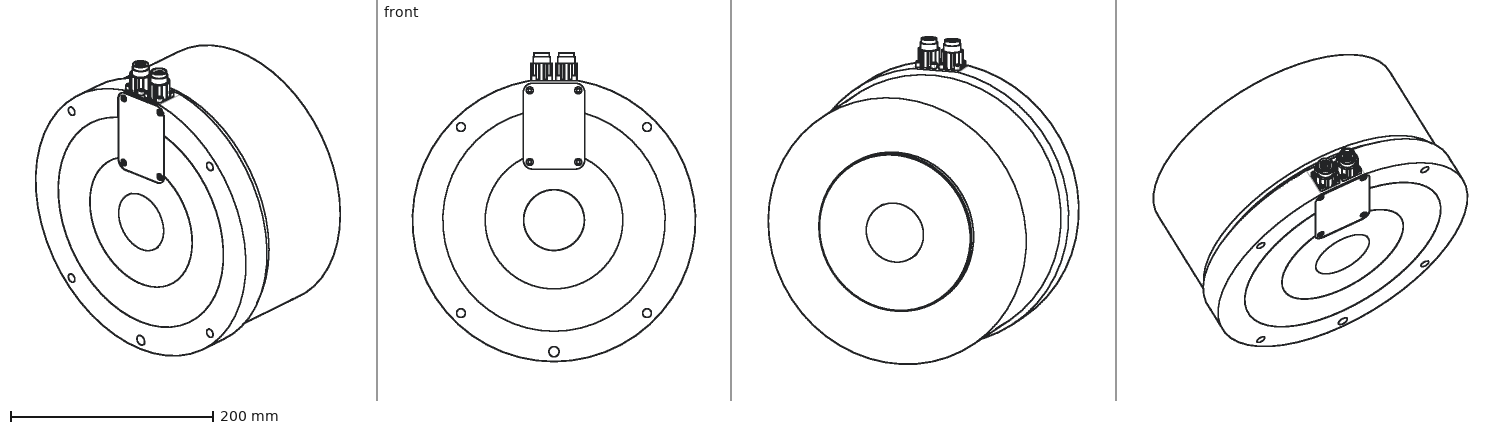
import cadquery as cq
import math


OVERALL_HEIGHT = 305.2

FLANGE_D = 280.0
FLANGE_R = FLANGE_D / 2
FLANGE_T = 31.0
NECK_R = 121.8
CONE_R = 124.8
CONE_END_Y = 34.2
RING_R = 126.5
RING_Y = 36.3
RING_CHAMFER = 0.5
DRUM_R = 135.0
DRUM_Y = 39.7
DRUM_END_Y = 145.0
HUB_R = 80.0
TOTAL_LENGTH = 152.0
HUB_CHAMFER = 1.2
BORE_D = 59.8

OUTER_RECESS_R = 110.0
INNER_RECESS_R = 68.0
RECESS_STEP = 0.3

SEAT_W = 48.8
SEAT_Z = math.sqrt(FLANGE_R**2 - (SEAT_W / 2) ** 2)

COVER_W = 60.7
COVER_TOP_Z = 135.2
COVER_BOTTOM_Z = 50.5
COVER_CORNER_R = 9.2
COVER_DEPTH = 1.2
SCREW_INSET_X = 6.5
SCREW_INSET_Z = 7.0
SCREW_D = 6.7
SCREW_SINK = 0.3
SOCKET_D = 3.5
SOCKET_DEPTH = 1.0

BOLT_CIRCLE_R = 130.0
TAPPED_D = 8.5
TAPPED_DEPTH = 21.5
DRILL_POINT_ANGLE = 118
DOWEL_D = 10.0
DOWEL_DEPTH = 21.5

CONNECTOR_X = 12.2
CONNECTOR_Y = 13.5
CONNECTOR_H = OVERALL_HEIGHT - FLANGE_R - SEAT_Z
BASE_W = 21.5
BASE_H = 1.2
BASE_CORNER_R = 1.2
BODY_D = 21.5
BODY_H = 17.0
COLLAR_D = 17.0
COLLAR_H = 23.5
NOSE_D = 15.3
FLUTE_ANGLES = (0, 33, 59, 77)
FLUTE_W = 1.0
FLUTE_DEPTH = 1.2
KEY_W = 5.0
CORNER_W = 5.2
CORNER_H = 4.5
BASE_SCREW_PITCH = BASE_W - CORNER_W
BASE_SCREW_D = 4.5
BASE_SCREW_H = 5.5
BASE_SOCKET_D = 2.5
BASE_SOCKET_DEPTH = 1.5

SOCKET_MOUTH_D = 10.5
SOCKET_MOUTH_DEPTH = 1.0
PIN_MOUTH_D = 13.0
PIN_MOUTH_DEPTH = 5.0
PIN_H = 4.0
CONTACT_D = 1.5
CONTACT_HOLE_DEPTH = 3.0
CONTACT_COUNT = 8
CONTACT_RING_R = 3.5


def front_cylinder(diameter, depth, x, z, start_y=0.0):
    """Cylinder along +Y, starting at start_y."""
    return cq.Workplane(
        cq.Solid.makeCylinder(diameter / 2, depth, cq.Vector(x, start_y, z), cq.Vector(0, 1, 0))
    )


def turned_body():
    """Flange, undercut neck, ring, drum and rear hub around the through bore."""
    profile = [
        (BORE_D / 2, 2 * RECESS_STEP),
        (INNER_RECESS_R, 2 * RECESS_STEP),
        (INNER_RECESS_R, RECESS_STEP),
        (OUTER_RECESS_R, RECESS_STEP),
        (OUTER_RECESS_R, 0),
        (FLANGE_R, 0),
        (FLANGE_R, FLANGE_T),
        (CONE_R, FLANGE_T),
        (NECK_R, CONE_END_Y),
        (NECK_R, RING_Y),
        (RING_R - RING_CHAMFER, RING_Y),
        (RING_R, RING_Y + RING_CHAMFER),
        (RING_R, DRUM_Y),
        (DRUM_R, DRUM_Y),
        (DRUM_R, DRUM_END_Y),
        (HUB_R, DRUM_END_Y),
        (HUB_R, TOTAL_LENGTH - HUB_CHAMFER),
        (HUB_R - HUB_CHAMFER, TOTAL_LENGTH),
        (BORE_D / 2, TOTAL_LENGTH),
    ]
    return cq.Workplane("XY").polyline(profile).close().revolve(360, (0, 0), (0, 1))


def seat_cut():
    """Block above the connector seat, as deep as the flange."""
    height = FLANGE_R - SEAT_Z
    block = cq.Workplane("XY").box(SEAT_W, FLANGE_T, height, centered=(True, False, False))
    return block.translate((0, 0, SEAT_Z))


def add_cover(body):
    """Sink the rounded cover and its four socket-head screws into the front."""
    height = COVER_TOP_Z - COVER_BOTTOM_Z
    pocket = (
        cq.Workplane("XY")
        .box(COVER_W, COVER_DEPTH, height, centered=(True, False, False))
        .edges("|Y")
        .fillet(COVER_CORNER_R)
        .translate((0, 0, COVER_BOTTOM_Z))
    )
    body = body.cut(pocket)
    screw_x = COVER_W / 2 - SCREW_INSET_X
    for x in (-screw_x, screw_x):
        for z in (COVER_BOTTOM_Z + SCREW_INSET_Z, COVER_TOP_Z - SCREW_INSET_Z):
            head_y = COVER_DEPTH + SCREW_SINK
            body = body.cut(front_cylinder(SCREW_D, SCREW_SINK, x, z, COVER_DEPTH))
            body = body.cut(front_cylinder(SOCKET_D, SOCKET_DEPTH, x, z, head_y))
    return body


def drill_flange(body):
    """Four blind tapped holes with drill points, and a flat-bottomed dowel hole."""
    radius = TAPPED_D / 2
    point_depth = radius / math.tan(math.radians(DRILL_POINT_ANGLE / 2))
    for angle in (45, 135, 225, 315):
        x = BOLT_CIRCLE_R * math.cos(math.radians(angle))
        z = BOLT_CIRCLE_R * math.sin(math.radians(angle))
        point = cq.Solid.makeCone(
            radius, 0, point_depth, cq.Vector(x, TAPPED_DEPTH, z), cq.Vector(0, 1, 0)
        )
        body = body.cut(front_cylinder(TAPPED_D, TAPPED_DEPTH, x, z)).cut(cq.Workplane(point))
    return body.cut(front_cylinder(DOWEL_D, DOWEL_DEPTH, 0, -BOLT_CIRCLE_R))


def connector_shell():
    """Fluted housing with flat keys, on a square base with screwed corner pads, standing on z = 0."""
    channel_w = BASE_W - 2 * CORNER_W
    channels = (
        cq.Workplane("XY")
        .workplane(offset=BASE_H)
        .rect(channel_w, BASE_W)
        .extrude(CORNER_H - BASE_H)
    )
    channels = channels.union(channels.rotate((0, 0, 0), (0, 0, 1), 90))
    base = (
        cq.Workplane("XY")
        .rect(BASE_W, BASE_W)
        .extrude(CORNER_H)
        .edges("|Z")
        .fillet(BASE_CORNER_R)
        .cut(channels)
    )
    screws = (
        cq.Workplane("XY")
        .rect(BASE_SCREW_PITCH, BASE_SCREW_PITCH, forConstruction=True)
        .vertices()
        .circle(BASE_SCREW_D / 2)
        .extrude(BASE_SCREW_H)
    )
    sockets = (
        cq.Workplane("XY")
        .workplane(offset=BASE_SCREW_H - BASE_SOCKET_DEPTH)
        .rect(BASE_SCREW_PITCH, BASE_SCREW_PITCH, forConstruction=True)
        .vertices()
        .circle(BASE_SOCKET_D / 2)
        .extrude(BASE_SOCKET_DEPTH)
    )
    shell = cq.Workplane("XY").circle(BODY_D / 2).extrude(BODY_H)
    keys = cq.Workplane("XY").rect(KEY_W, BASE_W).extrude(BODY_H)
    shell = shell.union(keys)
    flute = (
        cq.Workplane("XY")
        .box(2 * FLUTE_DEPTH, FLUTE_W, BODY_H - BASE_H, centered=(True, True, False))
        .translate((BODY_D / 2, 0, BASE_H))
    )
    for first in FLUTE_ANGLES:
        for angle in (first, -first, 180 - first, 180 + first):
            shell = shell.cut(flute.rotate((0, 0, 0), (0, 0, 1), angle))
    shell = shell.union(base).union(screws).cut(sockets)
    shell = shell.union(cq.Workplane("XY").circle(COLLAR_D / 2).extrude(COLLAR_H))
    return shell.union(cq.Workplane("XY").circle(NOSE_D / 2).extrude(CONNECTOR_H))


def mouth(diameter, depth):
    """Round opening sunk from the top of a connector."""
    return cq.Workplane("XY").workplane(offset=CONNECTOR_H - depth).circle(diameter / 2).extrude(depth)


def contacts(bottom_z, height):
    """Ring of contacts around a central one."""
    plane = cq.Workplane("XY").workplane(offset=bottom_z)
    ring = plane.polarArray(CONTACT_RING_R, 0, 360, CONTACT_COUNT).circle(CONTACT_D / 2).extrude(height)
    return ring.union(plane.circle(CONTACT_D / 2).extrude(height))


def socket_connector():
    """Connector with contact holes in a nearly flush insert."""
    insert_z = CONNECTOR_H - SOCKET_MOUTH_DEPTH
    holes = contacts(insert_z - CONTACT_HOLE_DEPTH, CONTACT_HOLE_DEPTH)
    return connector_shell().cut(mouth(SOCKET_MOUTH_D, SOCKET_MOUTH_DEPTH)).cut(holes)


def pin_connector():
    """Connector with contact pins standing in a deep opening."""
    pins = contacts(CONNECTOR_H - PIN_MOUTH_DEPTH, PIN_H)
    return connector_shell().cut(mouth(PIN_MOUTH_D, PIN_MOUTH_DEPTH)).union(pins)


result = drill_flange(add_cover(turned_body().cut(seat_cut())))
result = result.union(socket_connector().translate((-CONNECTOR_X, CONNECTOR_Y, SEAT_Z)))
result = result.union(pin_connector().translate((CONNECTOR_X, CONNECTOR_Y, SEAT_Z)))